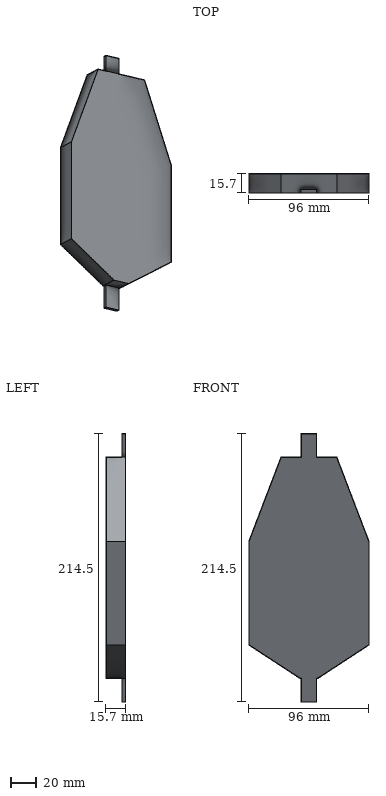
import cadquery as cq

width = 96.0
thickness = 15.7
height = 214.5

tab_width = 12.5
tab_length = 18.9
tab_thickness = 3.0

top_width = 44.6
bottom_width = 14.2
upper_taper_height = 67.4
lower_taper_height = 26.8

body_bottom = tab_length
body_top = height - tab_length
lower_shoulder = body_bottom + lower_taper_height
upper_shoulder = body_top - upper_taper_height


def make_body():
    """Tapered plate, extruded from the front face at Y = 0 toward +Y."""
    right_side = [
        (bottom_width / 2, body_bottom),
        (width / 2, lower_shoulder),
        (width / 2, upper_shoulder),
        (top_width / 2, body_top),
    ]
    left_side = [(-x, z) for x, z in reversed(right_side)]
    outline = cq.Workplane("XZ").polyline(right_side + left_side).close()
    return outline.extrude(-thickness)


def make_tab_strip():
    """Full-height thin strip whose two ends form the tabs."""
    return cq.Workplane("XY").box(
        tab_width, tab_thickness, height, centered=(True, False, False)
    )


result = make_body().union(make_tab_strip())